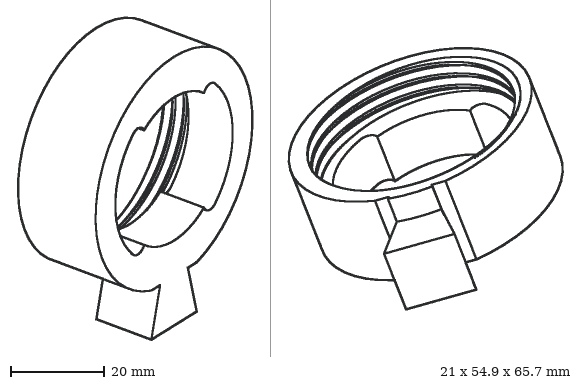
import cadquery as cq
import math

RING_LENGTH = 21.0
OUTER_RADIUS = 54.9 / 2
TOTAL_HEIGHT = 65.7

MINOR_RADIUS = 46.5 / 2
MAJOR_RADIUS = 49.75 / 2
PITCH = 3.0
THREAD_TURNS = 3
SOCKET_DEPTH = THREAD_TURNS * PITCH
ROOT_FLAT = PITCH / 8
CREST_FLAT = PITCH / 4
CORE_OVERLAP = 0.1
TAP_MARGIN = 3 * PITCH

NARROW_RADIUS = 17.5
WIDE_RADIUS = 20.5
RELIEF_RADIUS = 2.35
STEP_ANGLE = 45.9

FOOT_START = 6.1
FOOT_HALF_WIDTH = 7.95
NECK_HALF_WIDTH = 4.85
FOOT_BOTTOM = OUTER_RADIUS - TOTAL_HEIGHT
FLAT_Z = -math.sqrt(OUTER_RADIUS**2 - FOOT_HALF_WIDTH**2)


def cylinder(radius, length, start=0.0):
    """Cylinder along X from the given start."""
    return cq.Workplane("YZ", origin=(start, 0, 0)).circle(radius).extrude(length)


def prism(points, length, start=0.0):
    """Polygon of (Y, Z) points extruded along X from the given start."""
    return cq.Workplane("YZ", origin=(start, 0, 0)).polyline(points).close().extrude(length)


def thread_tap():
    """Core with a helical 60 degree thread whose crest meets the open face at -Y."""
    flank_slope = (PITCH - CREST_FLAT - ROOT_FLAT) / 2 / (MAJOR_RADIUS - MINOR_RADIUS)
    root_half = ROOT_FLAT / 2
    inner_half = root_half + flank_slope * (MAJOR_RADIUS - MINOR_RADIUS + CORE_OVERLAP)
    inner_radius = MINOR_RADIUS - CORE_OVERLAP
    length = SOCKET_DEPTH + 2 * PITCH
    path = cq.Wire.makeHelix(PITCH, length, MINOR_RADIUS)
    profile = cq.Workplane("XZ").polyline([
        (inner_radius, -inner_half),
        (MAJOR_RADIUS, -root_half),
        (MAJOR_RADIUS, root_half),
        (inner_radius, inner_half),
    ]).close()
    thread = profile.sweep(cq.Workplane(path), isFrenet=True)
    thread = thread.rotate((0, 0, 0), (0, 0, 1), -90)
    thread = thread.rotate((0, 0, 0), (0, 1, 0), 90)
    thread = thread.translate((-PITCH, 0, 0))
    core = cylinder(MINOR_RADIUS, SOCKET_DEPTH + 2 * TAP_MARGIN, -TAP_MARGIN)
    return core.union(thread, clean=False)


def bore_cutter():
    bore = cylinder(NARROW_RADIUS, RING_LENGTH)
    angle = math.radians(STEP_ANGLE)
    wedge_y = OUTER_RADIUS * math.cos(angle)
    wedge_z = OUTER_RADIUS * math.sin(angle)
    for side in (-1, 1):
        corners = [
            (0, 0),
            (side * wedge_y, -wedge_z),
            (side * OUTER_RADIUS, -wedge_z),
            (side * OUTER_RADIUS, wedge_z),
            (side * wedge_y, wedge_z),
        ]
        wedge = prism(corners, RING_LENGTH)
        bore = bore.union(wedge.intersect(cylinder(WIDE_RADIUS, RING_LENGTH)))
    relief_distance = WIDE_RADIUS - RELIEF_RADIUS
    relief_y = relief_distance * math.cos(angle)
    relief_z = relief_distance * math.sin(angle)
    reliefs = (
        cq.Workplane("YZ")
        .rect(2 * relief_y, 2 * relief_z, forConstruction=True)
        .vertices()
        .circle(RELIEF_RADIUS)
        .extrude(RING_LENGTH)
    )
    return bore.union(reliefs)


def dovetail(length, start=0.0):
    return prism([
        (-NECK_HALF_WIDTH, FLAT_Z),
        (NECK_HALF_WIDTH, FLAT_Z),
        (FOOT_HALF_WIDTH, FOOT_BOTTOM),
        (-FOOT_HALF_WIDTH, FOOT_BOTTOM),
    ], length, start)


def below_flats():
    """Space beside the dovetail, under the flats on the ring."""
    block = prism([
        (-FOOT_HALF_WIDTH, FLAT_Z),
        (FOOT_HALF_WIDTH, FLAT_Z),
        (FOOT_HALF_WIDTH, FOOT_BOTTOM),
        (-FOOT_HALF_WIDTH, FOOT_BOTTOM),
    ], RING_LENGTH)
    return block.cut(dovetail(RING_LENGTH))


socket = cylinder(OUTER_RADIUS, SOCKET_DEPTH).cut(thread_tap())
bored_ring = cylinder(OUTER_RADIUS, RING_LENGTH - SOCKET_DEPTH, SOCKET_DEPTH).cut(bore_cutter())
ring = bored_ring.union(socket).cut(below_flats())
foot = dovetail(RING_LENGTH - FOOT_START, FOOT_START)
result = ring.union(foot)